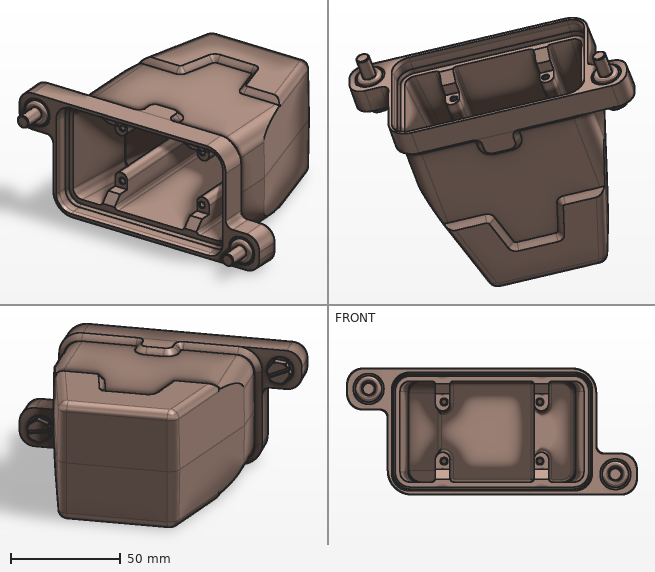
import cadquery as cq
import math


FLANGE_THICKNESS = 12.2
FLANGE_HALF_X = 47.9
FLANGE_HALF_Z = 29.0
EAR_REACH = 66.5
EAR_INNER_Z = 10.0
EAR_CORNER_RADIUS = 7.5
EAR_NECK_RADIUS = 3.7
FLANGE_DRAFT = 1.0

HOOD_INSET = 2.9
HOOD_HALF_X = FLANGE_HALF_X - HOOD_INSET
HOOD_HALF_Z = FLANGE_HALF_Z - HOOD_INSET
HOOD_CORNER_RADIUS = 8.2
FLANGE_CORNER_RADIUS = HOOD_CORNER_RADIUS + HOOD_INSET
HOOD_END_Y = 100.0
SLANT_START_Y = 35.8
SLANT_ANGLE = 15.0
SLANT = math.tan(math.radians(SLANT_ANGLE))
HOOD_END_HALF_X = HOOD_HALF_X - (HOOD_END_Y - SLANT_START_Y) * SLANT
HOOD_DRAFT = 1.0
HOOD_BACK_RADIUS = 5.3
GRIP_EDGE_RADIUS = 4.1
STEP_Y = 57.5
NOTCH_END_Y = 77.3
NOTCH_HALF_X = 10.4
NOTCH_END_RADIUS = 1.3
NOTCH_FOOT_RADIUS = 4.0
SIDE_MARGIN = 26.6

TONGUE_HALF_X = 10.4
TONGUE_END_Y = 25.0
TONGUE_CORNER_RADIUS = 6.3
TONGUE_FLARE_RADIUS = 0.7
TONGUE_FOOT_HALF_X = 18.6

MOUTH_STEPS = [(0.0, 27.1), (2.0, 26.5), (6.4, 26.3), (8.2, 25.4)]
MOUTH_SIDE_EXTRA = 18.9
MOUTH_DEPTH = MOUTH_STEPS[-1][0]
MOUTH_RADIUS = 8.2
CAVITY_HALF_Z = 23.1
CAVITY_MOUTH_HALF_X = 42.2
CAVITY_BEND_Y = 45.2
CAVITY_BEND_HALF_X = 38.5
CAVITY_BEND_STEP = 0.4
CAVITY_END_Y = 96.0
REAR_HALF_X = CAVITY_BEND_HALF_X - CAVITY_BEND_STEP
CAVITY_END_HALF_X = REAR_HALF_X - (CAVITY_END_Y - CAVITY_BEND_Y) * SLANT
FRONT_CORNER_RADIUS = 4.7
REAR_CORNER_RADIUS = 5.5
FLOOR_RADIUS = 1.6
SHELF_RADIUS = 1.2
SHELF_Y = 49.2
SHELF_HALF_X = REAR_HALF_X - (SHELF_Y - CAVITY_BEND_Y) * SLANT

BOSS_X = 22.6
BOSS_HOLE_X = 22.0
BOSS_HOLE_Z = 13.5
BOSS_TIP_Z = 12.8
BOSS_RADIUS = 3.3
BOSS_FACE_Y = 18.6
BOSS_LEDGE_Z = 17.3
BOSS_FOOT_Z = 22.0
BOSS_ROOT_RADIUS = 1.9
SHELF_EDGE_X = BOSS_X - BOSS_RADIUS
BOSS_HOLE_RADIUS = 1.3
BOSS_HOLE_CHAMFER = 0.4
BOSS_HOLE_DEPTH = 16.0

SCREW_X = 56.5
SCREW_Z = 19.5
SHAFT_RADIUS = 3.0
SHAFT_TIP_Y = -11.7
SHAFT_CHAMFER = 0.4
RING_RADIUS = 4.5
RING_TUBE_RADIUS = 1.53
RING_Y = -0.3
RING_POCKET_RADIUS = 7.0
RING_POCKET_DEPTH = RING_Y + RING_TUBE_RADIUS
COLLAR_RADIUS = 6.18
COLLAR_THICKNESS = 0.9
HEAD_TOP_Y = 17.2
HEAD_CORNER_DIAMETER = 11.52
HEAD_TOP_CHAMFER = 0.5
SLOT_WIDTH = 1.6
SLOT_DEPTH = 1.7
SLOT_TO_CORNER_ANGLE = 150.0
LEFT_HEAD_ANGLE = 6.7
RIGHT_HEAD_ANGLE = 22.0


def across(y):
    """Sketch plane square to Y at the given Y, drawn in X and Z; positive extrusion runs toward -Y."""
    return cq.Workplane(cq.Plane(origin=(0, y, 0), xDir=(1, 0, 0), normal=(0, -1, 0)))


def rounded_block(half_x, half_z, radius, y0, y1):
    block = across(y0).rect(2 * half_x, 2 * half_z).extrude(y0 - y1)
    return block.edges("|Y").fillet(radius)


def both_sides(upper):
    """A feature of the +Z side together with its mirror image below."""
    return upper.union(upper.mirror("XY"))


def flange_plate(x, z, width, height, radius):
    """Rounded plate as thick as the flange, drafted from its back face to its mating face."""
    outline = cq.Sketch().rect(width, height).vertices().fillet(radius)
    return across(FLANGE_THICKNESS).center(x, z).placeSketch(outline).extrude(FLANGE_THICKNESS, taper=FLANGE_DRAFT)


def make_flange():
    flange = flange_plate(0, 0, 2 * FLANGE_HALF_X, 2 * FLANGE_HALF_Z, FLANGE_CORNER_RADIUS)
    ear_height = FLANGE_HALF_Z - EAR_INNER_Z
    ear_z = (FLANGE_HALF_Z + EAR_INNER_Z) / 2
    for side in (-1, 1):
        ear = flange_plate(side * EAR_REACH / 2, -side * ear_z, EAR_REACH, ear_height, EAR_CORNER_RADIUS)
        flange = flange.union(ear)
        neck = cq.selectors.BoxSelector(
            (side * FLANGE_HALF_X - 1.3, 0, -side * EAR_INNER_Z - 1.3),
            (side * FLANGE_HALF_X + 1.3, FLANGE_THICKNESS, -side * EAR_INNER_Z + 1.3),
        )
        flange = flange.edges(neck).fillet(EAR_NECK_RADIUS)
    skirt_outline = cq.Sketch().rect(2 * FLANGE_HALF_X, 2 * FLANGE_HALF_Z).vertices().fillet(FLANGE_CORNER_RADIUS)
    skirt = across(FLANGE_THICKNESS).placeSketch(skirt_outline).extrude(-HOOD_INSET, taper=45)
    return flange.union(skirt)


def make_slant_block():
    """Wedge with the slanted sides and rounded back corners of the hood, drafted from Z = 0 up and down."""
    outline = (
        cq.Sketch()
        .polygon([
            (-HOOD_HALF_X, 0),
            (HOOD_HALF_X, 0),
            (HOOD_HALF_X, SLANT_START_Y),
            (HOOD_END_HALF_X, HOOD_END_Y),
            (-HOOD_END_HALF_X, HOOD_END_Y),
            (-HOOD_HALF_X, SLANT_START_Y),
            (-HOOD_HALF_X, 0),
        ])
        .vertices(">Y")
        .fillet(HOOD_BACK_RADIUS)
    )
    upper = cq.Workplane("XY").placeSketch(outline).extrude(FLANGE_HALF_Z, taper=HOOD_DRAFT)
    return both_sides(upper)


def make_lower_hood(slant_block):
    """Lower front part of the hood, with large rounded edges along Y, ending just behind the step."""
    front_y = FLANGE_THICKNESS / 2
    back_y = STEP_Y + HOOD_INSET / 2
    upper = (
        cq.Workplane("XY")
        .center(0, (front_y + back_y) / 2)
        .rect(2 * HOOD_HALF_X, back_y - front_y)
        .extrude(HOOD_HALF_Z, taper=HOOD_DRAFT)
        .faces(">Z")
        .edges("|Y")
        .fillet(HOOD_CORNER_RADIUS)
    )
    return both_sides(upper).intersect(slant_block)


def make_grip(slant_block):
    """Raised rear part of the hood with a notch in its step, above and below."""
    grip = slant_block.faces(">Z or <Z").edges("not <Y").fillet(GRIP_EDGE_RADIUS)
    grip = grip.intersect(rounded_block(EAR_REACH, FLANGE_HALF_Z, FLANGE_HALF_Z / 4, STEP_Y, HOOD_END_Y + 1.3))
    far_x = HOOD_HALF_X + SIDE_MARGIN
    notch_foot_x = NOTCH_HALF_X + (NOTCH_END_Y - STEP_Y) * SLANT
    outline = (
        cq.Sketch()
        .polygon([
            (-far_x, STEP_Y - SIDE_MARGIN),
            (-far_x, STEP_Y),
            (-notch_foot_x, STEP_Y),
            (-NOTCH_HALF_X, NOTCH_END_Y),
            (NOTCH_HALF_X, NOTCH_END_Y),
            (notch_foot_x, STEP_Y),
            (far_x, STEP_Y),
            (far_x, STEP_Y - SIDE_MARGIN),
            (-far_x, STEP_Y - SIDE_MARGIN),
        ])
        .vertices(">Y")
        .fillet(NOTCH_END_RADIUS)
        .reset()
        .vertices(cq.selectors.BoxSelector(
            (-notch_foot_x - 1.3, STEP_Y - 1.3, -1.3),
            (notch_foot_x + 1.3, STEP_Y + 1.3, 1.3),
        ))
        .fillet(NOTCH_FOOT_RADIUS)
    )
    step_cut = (
        cq.Workplane("XY", origin=(0, 0, HOOD_HALF_Z))
        .placeSketch(outline)
        .extrude(HOOD_INSET, taper=-45)
    )
    return grip.cut(both_sides(step_cut))


def make_tongue():
    """Latch tongue with 45-degree flanks, flaring into the skirt behind the flange, above and below."""
    foot_y = FLANGE_THICKNESS - 2 * HOOD_INSET
    skirt_y = FLANGE_THICKNESS + HOOD_INSET
    outline = (
        cq.Sketch()
        .polygon([
            (-TONGUE_FOOT_HALF_X, foot_y),
            (TONGUE_FOOT_HALF_X, foot_y),
            (TONGUE_FOOT_HALF_X, skirt_y),
            (TONGUE_HALF_X, skirt_y),
            (TONGUE_HALF_X, TONGUE_END_Y),
            (-TONGUE_HALF_X, TONGUE_END_Y),
            (-TONGUE_HALF_X, skirt_y),
            (-TONGUE_FOOT_HALF_X, skirt_y),
            (-TONGUE_FOOT_HALF_X, foot_y),
        ])
        .vertices(">Y")
        .fillet(TONGUE_CORNER_RADIUS)
        .reset()
        .vertices(cq.selectors.BoxSelector(
            (-TONGUE_HALF_X - 1.3, skirt_y - 1.3, -1.3),
            (TONGUE_HALF_X + 1.3, skirt_y + 1.3, 1.3),
        ))
        .fillet(TONGUE_FLARE_RADIUS)
    )
    tongue = cq.Workplane("XY", origin=(0, 0, HOOD_HALF_Z)).placeSketch(outline).extrude(HOOD_INSET, taper=45)
    behind_flange = rounded_block(EAR_REACH, EAR_REACH, EAR_CORNER_RADIUS, FLANGE_THICKNESS, HOOD_END_Y)
    return both_sides(tongue.intersect(behind_flange))


def make_mouth():
    """Stepped, narrowing opening in the flange face."""
    mouth = None
    for (y0, z0), (y1, z1) in zip(MOUTH_STEPS, MOUTH_STEPS[1:]):
        narrowing = math.degrees(math.atan2(z0 - z1, y1 - y0))
        outline = cq.Sketch().rect(2 * (z0 + MOUTH_SIDE_EXTRA), 2 * z0)
        outline = outline.vertices().fillet(MOUTH_RADIUS + z0 - MOUTH_STEPS[0][1])
        step = across(y0).placeSketch(outline).extrude(y0 - y1, taper=narrowing)
        mouth = step if mouth is None else mouth.union(step)
    return mouth


def boss(x, floor_y, floor_radius):
    """Solid screw boss on the +Z wall and the floor at floor_y, flared at its root, with a low foot
    sloping to the mouth."""
    root_half_x = BOSS_RADIUS + BOSS_ROOT_RADIUS
    root_z = CAVITY_HALF_Z - BOSS_ROOT_RADIUS
    pillar = (
        across(MOUTH_DEPTH)
        .moveTo(x - root_half_x, HOOD_HALF_Z)
        .lineTo(x - root_half_x, CAVITY_HALF_Z)
        .radiusArc((x - BOSS_RADIUS, root_z), BOSS_ROOT_RADIUS)
        .lineTo(x - BOSS_RADIUS, BOSS_TIP_Z)
        .threePointArc((x, BOSS_TIP_Z - BOSS_RADIUS), (x + BOSS_RADIUS, BOSS_TIP_Z))
        .lineTo(x + BOSS_RADIUS, root_z)
        .radiusArc((x + root_half_x, CAVITY_HALF_Z), BOSS_ROOT_RADIUS)
        .lineTo(x + root_half_x, HOOD_HALF_Z)
        .close()
        .extrude(MOUTH_DEPTH - HOOD_END_Y)
    )
    floor_size = 4 * root_half_x
    floor_slab = across(floor_y).center(x, BOSS_TIP_Z).rect(floor_size, 2 * HOOD_HALF_Z).extrude(floor_y - HOOD_END_Y)
    around_foot = cq.selectors.BoxSelector(
        (x - root_half_x, floor_y - 0.1, 0),
        (x + root_half_x, floor_y + 0.1, CAVITY_HALF_Z),
    )
    foot = pillar.union(floor_slab).edges(around_foot).fillet(floor_radius)
    if floor_y < CAVITY_END_Y:
        shelf_side = across(0).center(x, 0).rect(2 * BOSS_RADIUS, 2 * EAR_REACH).extrude(-HOOD_END_Y)
        shelf_side = shelf_side.union(shelf_side.translate((BOSS_RADIUS, 0, 0)))
        foot = foot.intersect(shelf_side)
    pillar = pillar.union(foot)
    front_cut = (
        cq.Workplane("YZ", origin=(x, 0, 0))
        .polyline([
            (BOSS_FACE_Y, 0),
            (BOSS_FACE_Y, BOSS_LEDGE_Z),
            (MOUTH_DEPTH + BOSS_FOOT_Z - BOSS_LEDGE_Z, BOSS_LEDGE_Z),
            (MOUTH_DEPTH, BOSS_FOOT_Z),
            (0, BOSS_FOOT_Z),
            (0, 0),
        ])
        .close()
        .extrude(root_half_x, both=True)
    )
    return pillar.cut(front_cut)


def cavity_block(outline, corner_radius):
    """Space with the given outline in X and Y and rounded edges where its sides meet the Z walls."""
    block = cq.Workplane("XY").polyline(outline).close().extrude(CAVITY_HALF_Z, both=True)
    return block.faces(">Z or <Z").edges("not (|X or |Y)").fillet(corner_radius)


def make_cavity():
    """Empty space behind the mouth, around the four bosses, with a shallow floor on the +X side."""
    front = cavity_block([
        (-CAVITY_MOUTH_HALF_X, MOUTH_DEPTH),
        (-CAVITY_BEND_HALF_X, CAVITY_BEND_Y),
        (CAVITY_BEND_HALF_X, CAVITY_BEND_Y),
        (CAVITY_MOUTH_HALF_X, MOUTH_DEPTH),
    ], FRONT_CORNER_RADIUS)
    rear = cavity_block([
        (-REAR_HALF_X, CAVITY_BEND_Y),
        (-CAVITY_END_HALF_X, CAVITY_END_Y),
        (SHELF_EDGE_X, CAVITY_END_Y),
        (SHELF_EDGE_X, SHELF_Y),
        (SHELF_HALF_X, SHELF_Y),
        (REAR_HALF_X, CAVITY_BEND_Y),
    ], REAR_CORNER_RADIUS)
    shelf_rim = cq.selectors.BoxSelector(
        (SHELF_EDGE_X + 0.1, SHELF_Y - 0.1, -HOOD_HALF_Z),
        (SHELF_HALF_X + 0.1, SHELF_Y + 0.1, HOOD_HALF_Z),
    )
    rear = rear.faces(">Y").edges().fillet(FLOOR_RADIUS)
    rear = rear.edges(shelf_rim).fillet(SHELF_RADIUS)
    cavity = front.union(rear)
    cavity = cavity.cut(both_sides(boss(-BOSS_X, CAVITY_END_Y, FLOOR_RADIUS)))
    cavity = cavity.cut(both_sides(boss(BOSS_X, SHELF_Y, SHELF_RADIUS)))
    return cavity


def boss_hole(x, z):
    hole = across(BOSS_FACE_Y).center(x, z).circle(BOSS_HOLE_RADIUS).extrude(-BOSS_HOLE_DEPTH)
    countersink = (
        across(BOSS_FACE_Y)
        .center(x, z)
        .circle(BOSS_HOLE_RADIUS + BOSS_HOLE_CHAMFER)
        .extrude(-BOSS_HOLE_CHAMFER, taper=45)
    )
    return hole.union(countersink)


def screw_hole(x, z):
    """Hole that fits a screw shaft, with a pocket for its sealing ring."""
    hole = across(0).center(x, z).circle(SHAFT_RADIUS).extrude(-FLANGE_THICKNESS)
    pocket = across(0).center(x, z).circle(RING_POCKET_RADIUS).extrude(-RING_POCKET_DEPTH)
    return hole.union(pocket)


def make_housing():
    slant_block = make_slant_block()
    housing = make_lower_hood(slant_block).union(make_grip(slant_block))
    housing = housing.union(make_flange()).union(make_tongue())
    housing = housing.cut(make_mouth()).cut(make_cavity())
    for x in (-BOSS_HOLE_X, BOSS_HOLE_X):
        for z in (-BOSS_HOLE_Z, BOSS_HOLE_Z):
            housing = housing.cut(boss_hole(x, z))
    for side in (-1, 1):
        housing = housing.cut(screw_hole(side * SCREW_X, -side * SCREW_Z))
    return housing


def make_screw(x, z, head_angle):
    """Slotted hexagon screw with its collar and sealing ring; head_angle turns a corner from +X to +Z."""
    shaft = across(SHAFT_TIP_Y).circle(SHAFT_RADIUS).extrude(SHAFT_TIP_Y - FLANGE_THICKNESS)
    shaft = shaft.faces("<Y").chamfer(SHAFT_CHAMFER)
    ring = cq.Workplane(obj=cq.Solid.makeTorus(
        RING_RADIUS, RING_TUBE_RADIUS, cq.Vector(0, RING_Y, 0), cq.Vector(0, 1, 0)
    ))
    collar = across(FLANGE_THICKNESS).circle(COLLAR_RADIUS).extrude(-COLLAR_THICKNESS)
    head_base_y = FLANGE_THICKNESS + COLLAR_THICKNESS
    head_height = HEAD_TOP_Y - head_base_y
    head = across(head_base_y).polygon(6, HEAD_CORNER_DIAMETER).extrude(-head_height)
    crown = across(head_base_y).circle(HEAD_CORNER_DIAMETER / 2).extrude(-head_height)
    head = head.intersect(crown.faces(">Y").chamfer(HEAD_TOP_CHAMFER))
    slot = (
        across(HEAD_TOP_Y - SLOT_DEPTH)
        .transformed(rotate=(0, 0, SLOT_TO_CORNER_ANGLE))
        .rect(2 * HEAD_CORNER_DIAMETER, SLOT_WIDTH)
        .extrude(-2 * SLOT_DEPTH)
    )
    head = head.cut(slot).rotate((0, 0, 0), (0, 1, 0), -head_angle)
    return shaft.union(ring).union(collar).union(head).translate((x, 0, z))


housing = make_housing()
screws = [
    make_screw(side * SCREW_X, -side * SCREW_Z, angle)
    for side, angle in ((-1, LEFT_HEAD_ANGLE), (1, RIGHT_HEAD_ANGLE))
]

result = cq.Compound.makeCompound([housing.solids().val(), *[screw.solids().val() for screw in screws]])